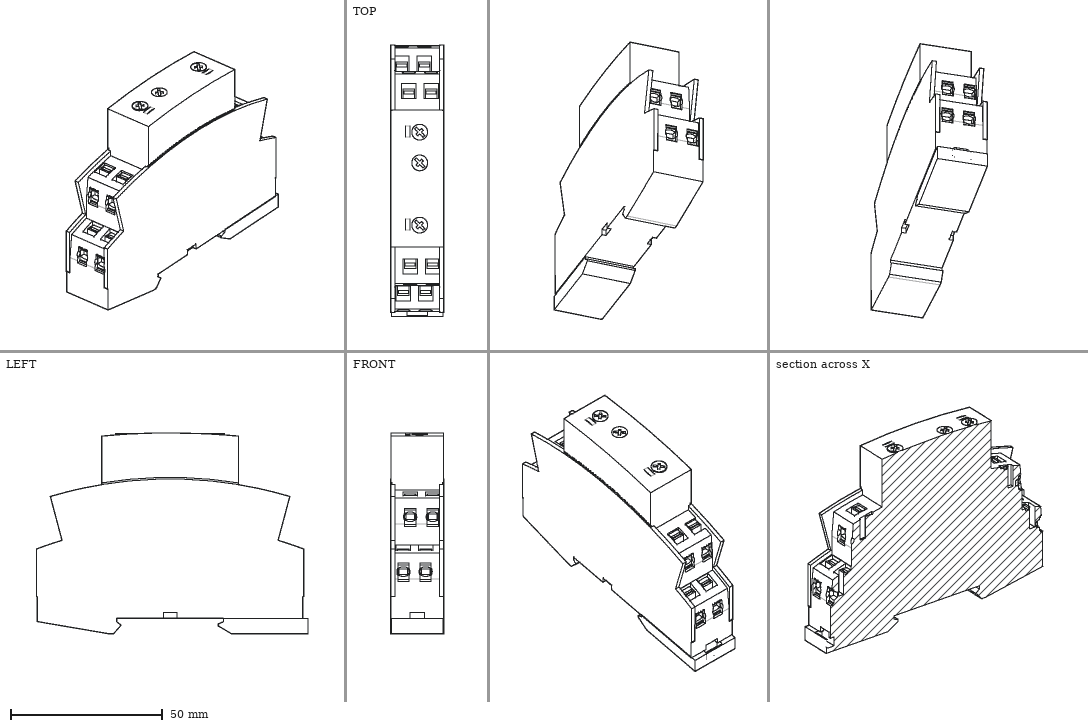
import cadquery as cq
import math

WIDTH = 17.5
HALF_WIDTH = WIDTH / 2
TOP_Z = 66.2

PLATE_THICKNESS = 1.4
CORE_HALF_WIDTH = HALF_WIDTH - PLATE_THICKNESS
PLATE_HALF_LENGTH = 44.0
BASE_HALF_LENGTH = 43.8
BASE_Z = 5.1
BASE_TOP_Z = 12.3

ARC_CENTER_Z = -87.7
PLATE_CREST_RADIUS = 138.7
PLATE_SHOULDER_RADIUS = 123.8
UPPER_STEP_RADIUS = 136.9
LOWER_STEP_RADIUS = 122.2
WING_TIP_Y = 39.5
WING_ROOT_Y = 35.6

UPPER_FACE_Y = 35.3
LOWER_FACE_Y = BASE_HALF_LENGTH
UPPER_KINK_Z = 36.2
LOWER_KINK_Z = 18.1
FACE_LEAN = 0.8

BLOCK_HALF_LENGTH = 22.55
BLOCK_HALF_WIDTH = 8.7
BLOCK_CORNER_Z = 65.2
NECK_HALF_WIDTH = 8.3
NECK_TOP_RADIUS = 139.3

SCREW_X = 0.8
SCREW_RADIUS = 2.6
OUTER_SCREW_TOP_Z = 66.0
MIDDLE_SCREW_TOP_Z = 66.1
SCREWS = [
    (15.3, OUTER_SCREW_TOP_Z),
    (5.2, MIDDLE_SCREW_TOP_Z),
    (-15.3, OUTER_SCREW_TOP_Z),
]
CROSS_LONG = 3.9
CROSS_SHORT = 2.6
CROSS_WIDTH = 0.8
CROSS_DEPTH = 0.5
LENS_X = -3.1
LENS_WIDTH = 1.6
LENS_LENGTH = 3.7
LENS_BULGE = 0.3
REAR_LENS_Y = 15.5
FRONT_LENS_Y = -15.1

UPPER_TERMINAL_XS = [-2.3, 5.1]
LOWER_TERMINAL_XS = [-4.6, 2.8]
WINDOW_WIDTH = 4.7
WINDOW_LENGTH = 5.0
UPPER_WINDOW_INNER_Y = 26.4
LOWER_WINDOW_INNER_Y = UPPER_FACE_Y + 0.1
WINDOW_FLOOR_ABOVE_KINK = 1.8
WINDOW_TOP_ABOVE_KINK = 12.5
CLIP_WIDTH = 3.85
CLIP_LENGTH = 3.1
CLIP_TOP_ABOVE_KINK = 9.85
CLIP_GROOVE_LENGTH = 3.3
CLIP_GROOVE_WIDTH = 1.0
CLIP_GROOVE_DEPTH = 0.9
CLIP_GROOVE_OFFSET = 1.4
ENTRY_WIDTH = 3.7
ENTRY_BELOW_KINK = 0.8
ENTRY_ABOVE_KINK = 5.2
ENTRY_STEP = 0.6
ENTRY_STEP_DEPTH = 0.9
ENTRY_DEPTH = 1.3
FUNNEL_ABOVE_KINK = 2.4
FUNNEL_RADIUS = 2.2
FUNNEL_END_WIDTH = 2.8
FUNNEL_END_HEIGHT = 1.9
FUNNEL_DEPTH = 2.7

HOOK_ROOT_Y = 17.5
HOOK_TIP_Y = 16.1
HOOK_TIP_Z = 2.9
HOOK_SHOULDER_Z = 4.0
HOOK_BOTTOM_INNER_Y = 18.6
HOOK_BOTTOM_OUTER_Y = 20.1
FOOT_HALF_WIDTH = 8.5
FOOT_END_Y = -45.5
FOOT_ROOT_Y = -17.5
FOOT_TIP_Y = -15.8
FOOT_TIP_LOW_Z = 2.6
FOOT_TIP_HIGH_Z = 3.3
FOOT_BOTTOM_Y = -20.2
SIDE_NOTCH_LENGTH = 4.5
NOTCH_HEIGHT = 2.0
NOTCH_DEPTH = 1.4
LATCH_WIDTH = 4.7
FOOT_POCKET_WIDTH = 6.7
FOOT_POCKET_DEPTH = 3.1
FOOT_LIP = 0.45


def arc_z(radius, y):
    """Height at y of a curved shoulder of the given radius."""
    return ARC_CENTER_Z + math.sqrt(radius**2 - y**2)


def arc_point(radius, y):
    return (y, arc_z(radius, y))


def add_arc(sketch, radius, y_start, y_end):
    """Continue an outline along a shoulder arc, from y_start to y_end."""
    y_middle = (y_start + y_end) / 2
    return sketch.threePointArc(arc_point(radius, y_middle), arc_point(radius, y_end))


def extrude_across(sketch, half_width):
    return sketch.close().extrude(half_width, both=True)


def box(x_range, y_range, z_range):
    sizes = [high - low for low, high in (x_range, y_range, z_range)]
    corner = (x_range[0], y_range[0], z_range[0])
    return cq.Workplane("XY").box(*sizes, centered=False).translate(corner)


def spread(center, size):
    """Range of the given size about a centre."""
    return (center - size / 2, center + size / 2)


def turned(solid):
    """Half turn about Z, from the front end to the rear end."""
    return solid.rotate((0, 0, 0), (0, 0, 1), 180)


def make_side_profile():
    """Full-width solid with the outline of the side plates, base and rail hook."""
    sketch = (
        cq.Workplane("YZ")
        .moveTo(-BASE_HALF_LENGTH, BASE_Z)
        .lineTo(-BASE_HALF_LENGTH, BASE_TOP_Z)
        .lineTo(-PLATE_HALF_LENGTH, BASE_TOP_Z)
        .lineTo(*arc_point(PLATE_SHOULDER_RADIUS, -PLATE_HALF_LENGTH))
    )
    sketch = add_arc(sketch, PLATE_SHOULDER_RADIUS, -PLATE_HALF_LENGTH, -WING_ROOT_Y)
    sketch = sketch.lineTo(*arc_point(PLATE_CREST_RADIUS, -WING_TIP_Y))
    sketch = add_arc(sketch, PLATE_CREST_RADIUS, -WING_TIP_Y, WING_TIP_Y)
    sketch = sketch.lineTo(*arc_point(PLATE_SHOULDER_RADIUS, WING_ROOT_Y))
    sketch = add_arc(sketch, PLATE_SHOULDER_RADIUS, WING_ROOT_Y, PLATE_HALF_LENGTH)
    sketch = (
        sketch.lineTo(PLATE_HALF_LENGTH, BASE_TOP_Z)
        .lineTo(BASE_HALF_LENGTH, BASE_TOP_Z)
        .lineTo(BASE_HALF_LENGTH, HOOK_SHOULDER_Z)
        .lineTo(HOOK_BOTTOM_OUTER_Y, 0)
        .lineTo(HOOK_BOTTOM_INNER_Y, 0)
        .lineTo(HOOK_TIP_Y, HOOK_TIP_Z)
        .lineTo(HOOK_ROOT_Y, HOOK_SHOULDER_Z)
        .lineTo(HOOK_ROOT_Y, BASE_Z)
    )
    return extrude_across(sketch, HALF_WIDTH)


def make_side_plates(profile):
    """The profile, emptied between the plates above the hook."""
    gap = box(
        (-CORE_HALF_WIDTH, CORE_HALF_WIDTH),
        (-PLATE_HALF_LENGTH, PLATE_HALF_LENGTH),
        (BASE_TOP_Z, TOP_Z),
    )
    return profile.cut(gap)


def make_core():
    """Stepped body between the plates."""
    upper_edge_y = UPPER_FACE_Y - FACE_LEAN
    lower_edge_y = LOWER_FACE_Y - FACE_LEAN
    sketch = (
        cq.Workplane("YZ")
        .moveTo(-LOWER_FACE_Y, BASE_Z)
        .lineTo(-LOWER_FACE_Y, LOWER_KINK_Z)
        .lineTo(*arc_point(LOWER_STEP_RADIUS, -lower_edge_y))
    )
    sketch = add_arc(sketch, LOWER_STEP_RADIUS, -lower_edge_y, -UPPER_FACE_Y)
    sketch = sketch.lineTo(-UPPER_FACE_Y, UPPER_KINK_Z)
    sketch = sketch.lineTo(*arc_point(UPPER_STEP_RADIUS, -upper_edge_y))
    sketch = add_arc(sketch, UPPER_STEP_RADIUS, -upper_edge_y, upper_edge_y)
    sketch = sketch.lineTo(UPPER_FACE_Y, UPPER_KINK_Z)
    sketch = sketch.lineTo(*arc_point(LOWER_STEP_RADIUS, UPPER_FACE_Y))
    sketch = add_arc(sketch, LOWER_STEP_RADIUS, UPPER_FACE_Y, lower_edge_y)
    sketch = sketch.lineTo(LOWER_FACE_Y, LOWER_KINK_Z).lineTo(LOWER_FACE_Y, BASE_Z)
    return extrude_across(sketch, CORE_HALF_WIDTH)


def make_window(x, inner_y, kink_z):
    """Cutter for a screw window, leaving a grooved clamp against its inner end."""
    floor_z = kink_z + WINDOW_FLOOR_ABOVE_KINK
    clip_top_z = kink_z + CLIP_TOP_ABOVE_KINK
    opening = box(
        spread(x, WINDOW_WIDTH),
        (-inner_y - WINDOW_LENGTH, -inner_y),
        (floor_z, kink_z + WINDOW_TOP_ABOVE_KINK),
    )
    clip = box(
        spread(x, CLIP_WIDTH),
        (-inner_y - CLIP_LENGTH, -inner_y),
        (floor_z, clip_top_z),
    )
    groove = box(
        spread(x, CLIP_GROOVE_LENGTH),
        spread(-inner_y - CLIP_GROOVE_OFFSET - CLIP_GROOVE_WIDTH / 2, CLIP_GROOVE_WIDTH),
        (clip_top_z - CLIP_GROOVE_DEPTH, clip_top_z),
    )
    return opening.cut(clip.cut(groove))


def make_wire_entry(x, face_y, kink_z):
    """Cutter for a wire entry: stepped slot with a funnel from round to rectangular."""
    slot_low_z = kink_z - ENTRY_BELOW_KINK
    slot_high_z = kink_z + ENTRY_ABOVE_KINK
    width = spread(x, ENTRY_WIDTH)
    shallow = box(width, (-face_y, -face_y + ENTRY_STEP_DEPTH), (slot_low_z, slot_high_z))
    deep = box(
        width,
        (-face_y, -face_y + ENTRY_DEPTH),
        (slot_low_z + ENTRY_STEP, slot_high_z - ENTRY_STEP),
    )
    funnel = (
        cq.Workplane("XZ", origin=(x, -face_y, kink_z + FUNNEL_ABOVE_KINK))
        .circle(FUNNEL_RADIUS)
        .workplane(offset=-FUNNEL_DEPTH)
        .rect(FUNNEL_END_WIDTH, FUNNEL_END_HEIGHT)
        .loft(ruled=True)
    )
    return shallow.union(deep).union(funnel)


def cut_terminals(core):
    steps = [
        (UPPER_TERMINAL_XS, LOWER_TERMINAL_XS, UPPER_WINDOW_INNER_Y, UPPER_FACE_Y, UPPER_KINK_Z),
        (LOWER_TERMINAL_XS, UPPER_TERMINAL_XS, LOWER_WINDOW_INNER_Y, LOWER_FACE_Y, LOWER_KINK_Z),
    ]
    for front_xs, rear_xs, inner_y, face_y, kink_z in steps:
        for x in front_xs:
            core = core.cut(make_window(x, inner_y, kink_z))
            core = core.cut(make_wire_entry(x, face_y, kink_z))
        for x in rear_xs:
            core = core.cut(turned(make_window(x, inner_y, kink_z)))
            core = core.cut(turned(make_wire_entry(x, face_y, kink_z)))
    return core


def make_block():
    """Operating block with a domed top, on a neck set in from both sides."""
    sketch = (
        cq.Workplane("YZ")
        .moveTo(-BLOCK_HALF_LENGTH, arc_z(NECK_TOP_RADIUS, BLOCK_HALF_LENGTH))
        .lineTo(-BLOCK_HALF_LENGTH, BLOCK_CORNER_Z)
        .threePointArc((0, TOP_Z), (BLOCK_HALF_LENGTH, BLOCK_CORNER_Z))
        .lineTo(*arc_point(NECK_TOP_RADIUS, BLOCK_HALF_LENGTH))
        .threePointArc(
            arc_point(NECK_TOP_RADIUS, 0),
            arc_point(NECK_TOP_RADIUS, -BLOCK_HALF_LENGTH),
        )
    )
    block = extrude_across(sketch, BLOCK_HALF_WIDTH)
    neck_bottom_z = arc_z(UPPER_STEP_RADIUS, UPPER_FACE_Y)
    neck = box(
        (-NECK_HALF_WIDTH, NECK_HALF_WIDTH),
        (-BLOCK_HALF_LENGTH, BLOCK_HALF_LENGTH),
        (neck_bottom_z, arc_z(NECK_TOP_RADIUS, 0)),
    )
    return block.union(neck)


def add_screw(block, y, top_z):
    """Flat screw head set into the dome, with a diagonal cross recess."""
    base = cq.Workplane("XY", origin=(SCREW_X, y, BLOCK_CORNER_Z))
    seat = base.circle(SCREW_RADIUS).extrude(TOP_Z - BLOCK_CORNER_Z)
    head = base.circle(SCREW_RADIUS).extrude(top_z - BLOCK_CORNER_Z)
    block = block.cut(seat).union(head)
    for length, angle in ((CROSS_LONG, -45), (CROSS_SHORT, 45)):
        slot = (
            cq.Workplane("XY", origin=(SCREW_X, y, top_z - CROSS_DEPTH))
            .transformed(rotate=(0, 0, angle))
            .rect(length, CROSS_WIDTH)
            .extrude(CROSS_DEPTH)
        )
        block = block.cut(slot)
    return block


def make_lens(y, bulge):
    """Lens between the dome and an arc that leaves it by the bulge (negative is sunken)."""
    dome_rise = TOP_Z - BLOCK_CORNER_Z
    dome_radius = (BLOCK_HALF_LENGTH**2 + dome_rise**2) / (2 * dome_rise)

    def dome_point(at_y, lift=0):
        return (at_y, TOP_Z - dome_radius + math.sqrt(dome_radius**2 - at_y**2) + lift)

    near_y, far_y = spread(y, LENS_LENGTH)
    outline = (
        cq.Workplane("YZ", origin=(LENS_X, 0, 0))
        .moveTo(*dome_point(near_y))
        .threePointArc(dome_point(y, bulge), dome_point(far_y))
        .threePointArc(dome_point(y), dome_point(near_y))
    )
    return extrude_across(outline, LENS_WIDTH / 2)


def make_foot():
    """Rail foot with a pointed inner end."""
    sketch = cq.Workplane("YZ").polyline([
        (FOOT_END_Y, 0),
        (FOOT_END_Y, BASE_Z),
        (FOOT_ROOT_Y, BASE_Z),
        (FOOT_ROOT_Y, HOOK_SHOULDER_Z),
        (FOOT_TIP_Y, FOOT_TIP_HIGH_Z),
        (FOOT_TIP_Y, FOOT_TIP_LOW_Z),
        (FOOT_BOTTOM_Y, 0),
    ])
    return extrude_across(sketch, FOOT_HALF_WIDTH)


def cut_notches(part):
    """Side notches at the middle of the base, and the latch opening above the foot."""
    notch_z = (BASE_Z, BASE_Z + NOTCH_HEIGHT)
    latch_inner_y = -BASE_HALF_LENGTH + NOTCH_DEPTH
    side_notch = box((-HALF_WIDTH, -CORE_HALF_WIDTH), spread(0, SIDE_NOTCH_LENGTH), notch_z)
    latch = box(spread(0, LATCH_WIDTH), (-BASE_HALF_LENGTH, latch_inner_y), notch_z)
    foot_pocket = box(
        spread(0, FOOT_POCKET_WIDTH),
        (FOOT_END_Y + FOOT_LIP, latch_inner_y),
        (BASE_Z - FOOT_POCKET_DEPTH, BASE_Z),
    )
    return part.cut(side_notch).cut(turned(side_notch)).cut(latch).cut(foot_pocket)


block = make_block()
for screw_y, screw_top_z in SCREWS:
    block = add_screw(block, screw_y, screw_top_z)
block = block.union(make_lens(REAR_LENS_Y, LENS_BULGE))
block = block.cut(make_lens(FRONT_LENS_Y, -LENS_BULGE))

housing = make_side_plates(make_side_profile()).union(cut_terminals(make_core()))
result = cut_notches(housing.union(block).union(make_foot()))